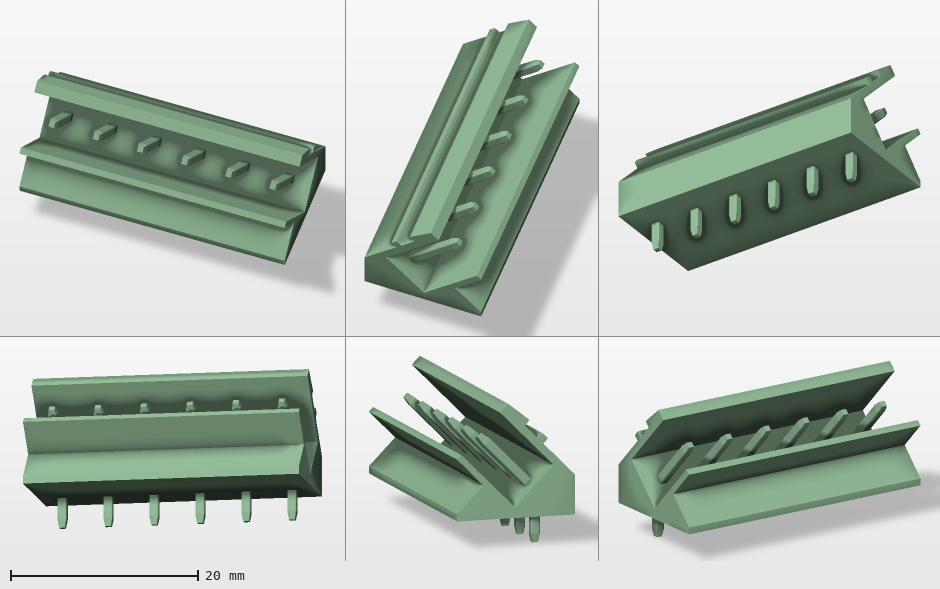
import cadquery as cq
import math


PIN_COUNT = 6
HOUSING_LENGTH = 30.0
HOUSING_DEPTH = 13.3
PITCH = HOUSING_LENGTH / PIN_COUNT
DIAGONAL = math.sqrt(0.5)

WALL_LENGTH = 8.52
SLOT_WIDTH = 6.15
FRONT_WALL = 0.7
REAR_WALL = 0.87
CORNER_HEIGHT = 1.17
CORNER_Y = (WALL_LENGTH + FRONT_WALL) * DIAGONAL
STEP_ALONG = 4.32

RIB_START = 2.52
RIB_WIDTH = 0.8
RIB_HEIGHT = 0.75
RIB_ROOT_RADIUS = 0.2
LIP_START = 5.45
LIP_HEIGHT = RIB_HEIGHT
LIP_FLAT = 0.3
LIP_TIP_HEIGHT = 0.42

PIN_WIDTH = 1.0
PIN_EDGE_RADIUS = 0.15
TIP_WIDTH = 0.63
TIP_LENGTH = 1.02
PIN_ACROSS = 3.12
PIN_Y = 9.5
SOLDER_LENGTH = 3.18
CONTACT_LENGTH = 7.55


def slanted(along, across):
    """Return the (Y, Z) point reached from the slot's lower corner."""
    y = CORNER_Y + (across - along) * DIAGONAL
    z = CORNER_HEIGHT + (across + along) * DIAGONAL
    return y, z


def make_housing_block():
    rear_face = SLOT_WIDTH + REAR_WALL
    rib_face = rear_face + RIB_HEIGHT
    rib_end = RIB_START + RIB_WIDTH
    lip_face = rear_face + LIP_HEIGHT

    wall_y, wall_z = slanted(RIB_START, rear_face)
    back_height = wall_z - (HOUSING_DEPTH - wall_y)
    step_y, step_z = slanted(STEP_ALONG, -FRONT_WALL)
    toe_height = step_z - step_y

    rib_root = slanted(rib_end, rear_face)
    outline = [
        (0, 0),
        (HOUSING_DEPTH, 0),
        (HOUSING_DEPTH, back_height),
        slanted(RIB_START, rear_face),
        slanted(RIB_START, rib_face),
        slanted(rib_end, rib_face),
        rib_root,
        slanted(LIP_START, rear_face),
        slanted(LIP_START, lip_face),
        slanted(LIP_START + LIP_FLAT, lip_face),
        slanted(WALL_LENGTH, rear_face + LIP_TIP_HEIGHT),
        slanted(WALL_LENGTH, SLOT_WIDTH),
        slanted(0, SLOT_WIDTH),
        slanted(0, 0),
        slanted(WALL_LENGTH, 0),
        slanted(WALL_LENGTH, -FRONT_WALL),
        slanted(STEP_ALONG, -FRONT_WALL),
        (0, toe_height),
    ]
    profile = cq.Workplane("YZ").polyline(outline).close()
    block = profile.extrude(HOUSING_LENGTH / 2, both=True)
    root_edge = block.edges(cq.selectors.NearestToPointSelector((0, *rib_root)))
    return root_edge.fillet(RIB_ROOT_RADIUS)


SOLDER_END = (PIN_Y, TIP_LENGTH - SOLDER_LENGTH)
CONTACT_END = slanted(CONTACT_LENGTH - TIP_LENGTH, PIN_ACROSS)
BEND = (PIN_Y, CONTACT_END[1] + CONTACT_END[0] - PIN_Y)


def pin_section():
    """Return the pin's square cross-section with rounded corners."""
    return cq.Sketch().rect(PIN_WIDTH, PIN_WIDTH).vertices().fillet(PIN_EDGE_RADIUS)


def make_pin_shaft():
    """Return the bent bar, mitred where its two straight limbs meet."""
    axis = cq.Workplane("YZ").polyline([SOLDER_END, BEND, CONTACT_END])
    start = cq.Workplane("XY", origin=(0, *SOLDER_END))
    return start.placeSketch(pin_section()).sweep(axis, transition="right")


def make_tip(shaft_end, direction):
    """Return the four-sided tapered tip that continues a shaft from its end."""
    plane = cq.Plane(origin=(0, *shaft_end), xDir=(1, 0, 0), normal=direction)
    bar = cq.Workplane(plane).placeSketch(pin_section()).extrude(TIP_LENGTH)
    taper = (
        cq.Workplane(plane)
        .rect(PIN_WIDTH, PIN_WIDTH)
        .workplane(offset=TIP_LENGTH)
        .rect(TIP_WIDTH, TIP_WIDTH)
        .loft(ruled=True)
    )
    return bar.intersect(taper)


def make_pin(shaft):
    solder_tip = make_tip(SOLDER_END, (0, 0, -1))
    contact_tip = make_tip(CONTACT_END, (0, -1, 1))
    return shaft.union(solder_tip).union(contact_tip)


pin_shaft = make_pin_shaft()
pin = make_pin(pin_shaft)
housing = make_housing_block()
pins = []
for index in range(PIN_COUNT):
    place = ((index + 0.5) * PITCH - HOUSING_LENGTH / 2, 0, 0)
    housing = housing.cut(pin_shaft.translate(place))
    pins.append(pin.solids().val().translate(cq.Vector(*place)))

result = cq.Compound.makeCompound([housing.solids().val(), *pins])